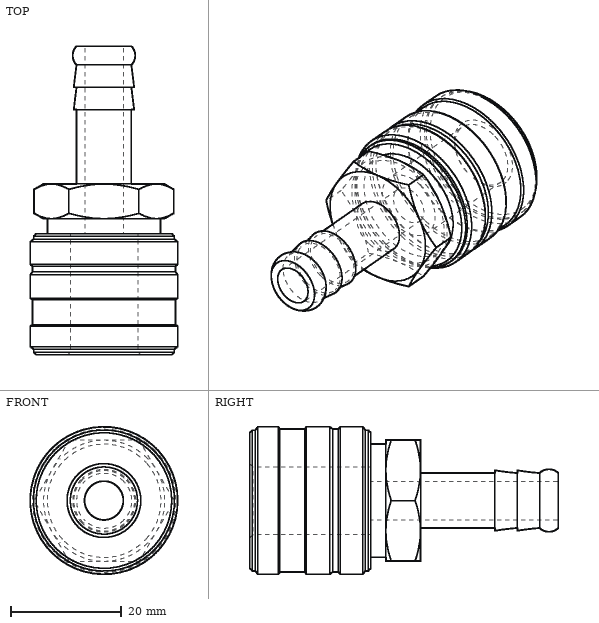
import cadquery as cq
import math

TOTAL_LENGTH = 56.0

SLEEVE_LENGTH = 22.0
BAND_RADIUS = 13.4
GROOVE_RADIUS = 13.0
COLLAR_RADIUS = 12.8
COLLAR_LENGTH = 1.0
COLLAR_CHAMFER = 0.5
BAND_END_CHAMFER = 0.5
REAR_GROOVE_FRONT_SLOPE = 0.5
GROOVE_SLOPE = 0.3
FRONT_GROOVE_START = 5.2
FRONT_GROOVE_END = 10.3
REAR_GROOVE_START = 14.55
REAR_GROOVE_END = 16.4

NECK_RADIUS = 10.3
HEX_SIDES = 6
HEX_START = 24.7
HEX_END = 31.0
HEX_ACROSS_FLATS = 22.0
HEX_CHAMFER_ANGLE = math.radians(30)

STEM_RADIUS = 5.0
BARB_RADIUS = 5.5
BARB_COUNT = 2
BARB_LENGTH = 4.05
BEAD_RADIUS = 5.7
BEAD_LENGTH = 3.4

PASSAGE_RADIUS = 3.5
SOCKET_RADIUS = 6.1
SOCKET_DEPTH = SLEEVE_LENGTH
SOCKET_CHAMFER = 0.6


def revolve_about_y(profile):
    """Revolve a closed XY profile, with X as the radius, around the Y axis."""
    return profile.close().revolve(360, (0, 0, 0), (0, 1, 0))


def cylinder(radius, start, end):
    outline = [(0, start), (radius, start), (radius, end), (0, end)]
    return revolve_about_y(cq.Workplane("XY").polyline(outline))


def make_sleeve():
    collar_end_radius = COLLAR_RADIUS - COLLAR_CHAMFER
    rear_collar_start = SLEEVE_LENGTH - COLLAR_LENGTH
    outline = [
        (0, 0),
        (collar_end_radius, 0),
        (COLLAR_RADIUS, COLLAR_CHAMFER),
        (COLLAR_RADIUS, COLLAR_LENGTH),
        (BAND_RADIUS, COLLAR_LENGTH + BAND_END_CHAMFER),
        (BAND_RADIUS, FRONT_GROOVE_START),
        (GROOVE_RADIUS, FRONT_GROOVE_START + GROOVE_SLOPE),
        (GROOVE_RADIUS, FRONT_GROOVE_END - GROOVE_SLOPE),
        (BAND_RADIUS, FRONT_GROOVE_END),
        (BAND_RADIUS, REAR_GROOVE_START),
        (GROOVE_RADIUS, REAR_GROOVE_START + REAR_GROOVE_FRONT_SLOPE),
        (GROOVE_RADIUS, REAR_GROOVE_END - GROOVE_SLOPE),
        (BAND_RADIUS, REAR_GROOVE_END),
        (BAND_RADIUS, rear_collar_start - BAND_END_CHAMFER),
        (COLLAR_RADIUS, rear_collar_start),
        (COLLAR_RADIUS, SLEEVE_LENGTH - COLLAR_CHAMFER),
        (collar_end_radius, SLEEVE_LENGTH),
        (0, SLEEVE_LENGTH),
    ]
    return revolve_about_y(cq.Workplane("XY").polyline(outline))


def make_hex():
    """Hexagon with flats facing +Z and -Z, its corners cut by a cone at both ends."""
    flat_radius = HEX_ACROSS_FLATS / 2
    corner_radius = flat_radius / math.cos(math.pi / HEX_SIDES)
    corner_drop = (corner_radius - flat_radius) * math.tan(HEX_CHAMFER_ANGLE)
    prism = (
        cq.Workplane("XZ", origin=(0, HEX_START, 0))
        .polygon(HEX_SIDES, 2 * corner_radius)
        .extrude(HEX_START - HEX_END)
    )
    envelope_outline = [
        (0, HEX_START),
        (flat_radius, HEX_START),
        (corner_radius, HEX_START + corner_drop),
        (corner_radius, HEX_END - corner_drop),
        (flat_radius, HEX_END),
        (0, HEX_END),
    ]
    return prism.intersect(revolve_about_y(cq.Workplane("XY").polyline(envelope_outline)))


def make_hose_tail():
    bead_start = TOTAL_LENGTH - BEAD_LENGTH
    tail = cylinder(STEM_RADIUS, HEX_END, bead_start)

    for index in range(BARB_COUNT):
        barb_end = bead_start - index * BARB_LENGTH
        barb_start = barb_end - BARB_LENGTH
        outline = [(0, barb_start), (BARB_RADIUS, barb_start), (STEM_RADIUS, barb_end), (0, barb_end)]
        tail = tail.union(revolve_about_y(cq.Workplane("XY").polyline(outline)))

    bead = (
        cq.Workplane("XY")
        .moveTo(0, bead_start)
        .lineTo(STEM_RADIUS, bead_start)
        .threePointArc((BEAD_RADIUS, bead_start + BEAD_LENGTH / 2), (STEM_RADIUS, TOTAL_LENGTH))
        .lineTo(0, TOTAL_LENGTH)
    )
    return tail.union(revolve_about_y(bead))


def make_bore():
    outline = [
        (0, 0),
        (SOCKET_RADIUS + SOCKET_CHAMFER, 0),
        (SOCKET_RADIUS, SOCKET_CHAMFER),
        (SOCKET_RADIUS, SOCKET_DEPTH),
        (PASSAGE_RADIUS, SOCKET_DEPTH),
        (PASSAGE_RADIUS, TOTAL_LENGTH),
        (0, TOTAL_LENGTH),
    ]
    return revolve_about_y(cq.Workplane("XY").polyline(outline))


neck = cylinder(NECK_RADIUS, SLEEVE_LENGTH, HEX_START)
body = make_sleeve().union(neck).union(make_hex()).union(make_hose_tail())
result = body.cut(make_bore())